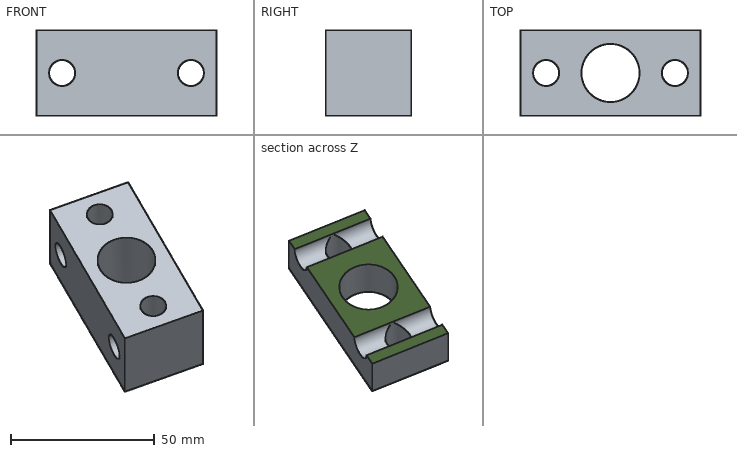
import cadquery as cq

length = 63.0
side = 30.0

bore_diameter = 20.2
bolt_diameter = 9.0
bolt_spacing = 45.0
bolt_positions = [(-bolt_spacing / 2, 0), (bolt_spacing / 2, 0)]


def drill_bolt_pair(body, face):
    """Drill two holes through the block, spaced along X on the given face."""
    return body.faces(face).workplane(origin=(0, 0, 0)).pushPoints(bolt_positions).hole(bolt_diameter)


block = cq.Workplane("XY").box(length, side, side)

bored_block = block.faces(">Z").workplane().hole(bore_diameter)

result = bored_block
for drilled_face in (">Z", "<Y"):
    result = drill_bolt_pair(result, drilled_face)